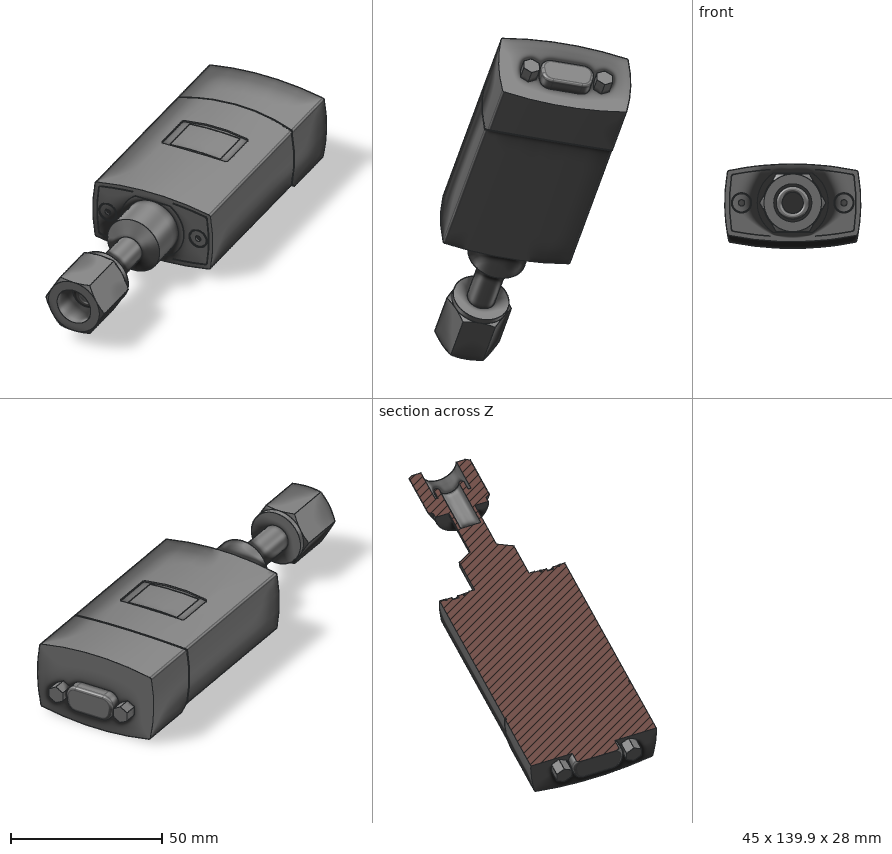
import cadquery as cq
import math

TOTAL_LENGTH = 139.9
NUT_LENGTH = 20.4
NUT_COLLAR = 2.0
CONE_FRONT = 38.9
CONE_REAR = 41.8
BODY_FRONT = 55.3
SEAM = 112.6
BODY_REAR = 135.1

HALF_WIDTH = 22.5
TOTAL_HEIGHT = 28.0
CROWN = 12.9
CAP_DROP = TOTAL_HEIGHT - CROWN
TOP_RADIUS = 104.9
SIDE_RADIUS = 58.8
CORNER_RADIUS = 0.8
CORNER_STEPS = 20

SEAM_KNEE = 10.1
GROOVE_WIDTH = 0.4
GROOVE_DEPTH = 0.4

WINDOW_Y = 91.9
WINDOW_WIDTH = 24.8
WINDOW_END_LENGTH = 15.2
WINDOW_MIDDLE_LENGTH = 16.9
WINDOW_CORNER = 0.8
WINDOW_DEPTH = 0.5
LENS_WIDTH = 18.9
LENS_LENGTH = 14.0
LENS_DEPTH = 0.4

PLATE_INSET = 1.5
PLATE_GROOVE = 0.1
PLATE_GROOVE_DEPTH = 0.3
PLATE_GAP = 15.1
SCREW_X = 16.9
SCREW_HOLE_DIAMETER = 6.7
SCREW_HEAD_DIAMETER = 6.0
SCREW_HOLE_DEPTH = 0.7
SCREW_HEAD_RECESS = 0.1
SOCKET_DIAMETER = 2.1
SOCKET_DEPTH = 1.1

FLANGE_RADIUS = 11.8
FLANGE_THICKNESS = 0.3
STEM_RADIUS = 9.8
TUBE_RADIUS = 4.8
NUT_FLATS = 19.0
NUT_BORE_RADIUS = 6.3
NUT_CHAMFER_ANGLE = 30.0
NUT_BORE_DEPTH = 12.6
GLAND_RADIUS = 5.5
GLAND_FRONT = 8.4
TUBE_BORE_RADIUS = 3.5
TUBE_BORE_END = 28.0

CONNECTOR_Z = -3.8
SHELL_WIDTH = 17.9
SHELL_HEIGHT = 9.4
SHELL_LENGTH = 4.3
SHELL_CORNER = 3.6
SHELL_EDGE = 1.0
SHELL_SIDE_ANGLE = 10.0
STANDOFF_X = 12.5
STANDOFF_FLATS = 5.3


def xz_plane(y):
    """Sketch plane at the given Y: local axes are X and Z, extrusion runs toward +Y."""
    return cq.Workplane(cq.Plane(origin=(0, y, 0), xDir=(-1, 0, 0), normal=(0, 1, 0)))


def arc_drop(radius, offset):
    """Fall of an arc of the given radius at a distance from its crown."""
    return radius - math.sqrt(radius**2 - offset**2)


def housing(y_start, y_end, bottom=CROWN, inset=0.0):
    """Prism with the barrel shaped section of the housing, shrunk by an inset."""
    half_width = HALF_WIDTH - inset
    top = CROWN - inset
    bottom = bottom - inset

    def corner(crown):
        """Point where the side arc meets an end arc, found by repeated substitution."""
        x = half_width
        for _ in range(CORNER_STEPS):
            z = crown - arc_drop(TOP_RADIUS, x)
            x = half_width - arc_drop(SIDE_RADIUS, z)
        return x, z

    top_x, top_z = corner(top)
    bottom_x, bottom_z = corner(bottom)
    return (
        xz_plane(y_start)
        .moveTo(-top_x, top_z)
        .threePointArc((0, top), (top_x, top_z))
        .threePointArc((half_width, 0), (bottom_x, -bottom_z))
        .threePointArc((0, -bottom), (-bottom_x, -bottom_z))
        .threePointArc((-half_width, 0), (-top_x, top_z))
        .close()
        .extrude(y_end - y_start)
        .edges("|Y")
        .fillet(CORNER_RADIUS)
    )


def behind_seam(y_seam):
    """Everything behind a seam that is upright in the middle and slopes back above and below."""
    reach = TOTAL_LENGTH
    rise = 2 * CAP_DROP
    slope = rise - SEAM_KNEE
    return (
        cq.Workplane("YZ")
        .polyline([
            (y_seam, -SEAM_KNEE),
            (y_seam, SEAM_KNEE),
            (y_seam + slope, rise),
            (reach, rise),
            (reach, -rise),
            (y_seam + slope, -rise),
        ])
        .close()
        .extrude(2 * HALF_WIDTH, both=True)
    )


def enclosure():
    """Body and deeper rear cap, joined by a core that forms the bottom of the seam groove."""
    body = housing(BODY_FRONT, BODY_REAR).cut(behind_seam(SEAM - GROOVE_WIDTH))
    cap = housing(SEAM, BODY_REAR, bottom=CAP_DROP).intersect(behind_seam(SEAM))
    core = housing(BODY_FRONT, BODY_REAR, inset=GROOVE_DEPTH)
    return body.union(cap).union(core)


def window_pocket():
    """Shallow pocket with bowed ends around a lens; both floors follow the curve of the top."""
    half_width = WINDOW_WIDTH / 2
    half_end = WINDOW_END_LENGTH / 2
    half_middle = WINDOW_MIDDLE_LENGTH / 2
    pocket = (
        cq.Workplane("XY", origin=(0, WINDOW_Y, 0))
        .moveTo(-half_width, half_end)
        .threePointArc((0, half_middle), (half_width, half_end))
        .lineTo(half_width, -half_end)
        .threePointArc((0, -half_middle), (-half_width, -half_end))
        .close()
        .extrude(2 * CROWN)
        .edges("|Z")
        .fillet(WINDOW_CORNER)
        .cut(housing(BODY_FRONT, BODY_REAR, inset=WINDOW_DEPTH))
    )
    lens = (
        cq.Workplane("XY", origin=(0, WINDOW_Y, 0))
        .rect(LENS_WIDTH, LENS_LENGTH)
        .extrude(2 * CROWN)
        .intersect(housing(BODY_FRONT, BODY_REAR, inset=LENS_DEPTH))
    )
    return pocket.cut(lens)


def plate_groove():
    """Fine groove around the end plate, interrupted above and below the stem."""
    end = BODY_FRONT + PLATE_GROOVE_DEPTH
    outer = housing(BODY_FRONT, end, inset=PLATE_INSET)
    inner = housing(BODY_FRONT, end, inset=PLATE_INSET + PLATE_GROOVE)
    gap = cq.Workplane("XY").box(PLATE_GAP, 2 * TOTAL_LENGTH, 2 * TOTAL_LENGTH)
    return outer.cut(inner).cut(gap)


def screw_recesses():
    """Clearance ring and drive socket of the two plate screws."""
    centres = [(-SCREW_X, 0), (SCREW_X, 0)]

    def discs(diameter, y, depth):
        return xz_plane(y).pushPoints(centres).circle(diameter / 2).extrude(depth)

    holes = discs(SCREW_HOLE_DIAMETER, BODY_FRONT, SCREW_HOLE_DEPTH)
    heads = discs(SCREW_HEAD_DIAMETER, BODY_FRONT + SCREW_HEAD_RECESS, SCREW_HOLE_DEPTH)
    sockets = discs(SOCKET_DIAMETER, BODY_FRONT, SOCKET_DEPTH)
    return holes.cut(heads).union(sockets)


def revolved(points):
    """Solid of revolution about the Y axis from (radius, y) points."""
    return cq.Workplane("XY").polyline(points).close().revolve(360, (0, 0, 0), (0, 1, 0))


def stem():
    """Flange with two flats, stem with cone, and the tube that enters the nut."""
    flange_front = BODY_FRONT - FLANGE_THICKNESS
    flats = cq.Workplane("XY").box(2 * TOTAL_LENGTH, 2 * TOTAL_LENGTH, 2 * STEM_RADIUS)
    flange = xz_plane(flange_front).circle(FLANGE_RADIUS).extrude(FLANGE_THICKNESS).intersect(flats)
    shaft = revolved([
        (0, NUT_BORE_DEPTH),
        (TUBE_RADIUS, NUT_BORE_DEPTH),
        (TUBE_RADIUS, CONE_FRONT),
        (STEM_RADIUS, CONE_REAR),
        (STEM_RADIUS, BODY_FRONT),
        (0, BODY_FRONT),
    ])
    return flange.union(shaft)


def nut():
    """Hexagon nut with chamfered corners, a round collar behind and an open bore in front."""
    flat_radius = NUT_FLATS / 2
    corner_radius = flat_radius / math.cos(math.pi / 6)
    chamfer = (corner_radius - flat_radius) * math.tan(math.radians(NUT_CHAMFER_ANGLE))
    hex_rear = NUT_LENGTH - NUT_COLLAR
    hexagon = xz_plane(0).polygon(6, 2 * corner_radius).extrude(NUT_LENGTH)
    envelope = revolved([
        (0, 0),
        (flat_radius, 0),
        (corner_radius, chamfer),
        (corner_radius, hex_rear - chamfer),
        (flat_radius, hex_rear),
        (flat_radius, NUT_LENGTH),
        (0, NUT_LENGTH),
    ])
    bore = xz_plane(0).circle(NUT_BORE_RADIUS).extrude(NUT_BORE_DEPTH)
    return hexagon.intersect(envelope).cut(bore)


def gland():
    """Tube end inside the nut, with a half round sealing lip."""
    lip_radius = (GLAND_RADIUS - TUBE_BORE_RADIUS) / 2
    lip_base = GLAND_FRONT + lip_radius
    return (
        cq.Workplane("XY")
        .moveTo(TUBE_BORE_RADIUS, NUT_BORE_DEPTH)
        .lineTo(TUBE_BORE_RADIUS, lip_base)
        .threePointArc((TUBE_BORE_RADIUS + lip_radius, GLAND_FRONT), (GLAND_RADIUS, lip_base))
        .lineTo(GLAND_RADIUS, NUT_BORE_DEPTH)
        .close()
        .revolve(360, (0, 0, 0), (0, 1, 0))
    )


def tube_bore():
    """Blind bore of the tube."""
    return xz_plane(GLAND_FRONT).circle(TUBE_BORE_RADIUS).extrude(TUBE_BORE_END - GLAND_FRONT)


def connector():
    """D-shaped connector shell between two hexagonal standoffs."""
    tilt = math.radians(SHELL_SIDE_ANGLE)
    overhang = SHELL_CORNER * (math.tan(math.pi / 4 + tilt / 2) - 1)
    half_top = SHELL_WIDTH / 2 + overhang
    half_bottom = half_top - SHELL_HEIGHT * math.tan(tilt)
    top = CONNECTOR_Z + SHELL_HEIGHT / 2
    bottom = CONNECTOR_Z - SHELL_HEIGHT / 2
    assembly = (
        xz_plane(BODY_REAR)
        .polyline([(-half_top, top), (half_top, top), (half_bottom, bottom), (-half_bottom, bottom)])
        .close()
        .extrude(SHELL_LENGTH)
        .edges("|Y")
        .fillet(SHELL_CORNER)
        .faces(">Y")
        .edges()
        .fillet(SHELL_EDGE)
    )
    corner_radius = STANDOFF_FLATS / 2 / math.cos(math.pi / 6)
    sixth_turn = math.pi / 3
    start = sixth_turn / 2
    for side in (-1, 1):
        corners = [
            (
                side * STANDOFF_X + corner_radius * math.cos(start + i * sixth_turn),
                CONNECTOR_Z + corner_radius * math.sin(start + i * sixth_turn),
            )
            for i in range(6)
        ]
        standoff = xz_plane(BODY_REAR).polyline(corners).close().extrude(TOTAL_LENGTH - BODY_REAR)
        assembly = assembly.union(standoff)
    return assembly


result = (
    enclosure()
    .cut(window_pocket())
    .cut(plate_groove())
    .cut(screw_recesses())
    .union(stem())
    .union(nut())
    .union(gland())
    .cut(tube_bore())
    .union(connector())
)